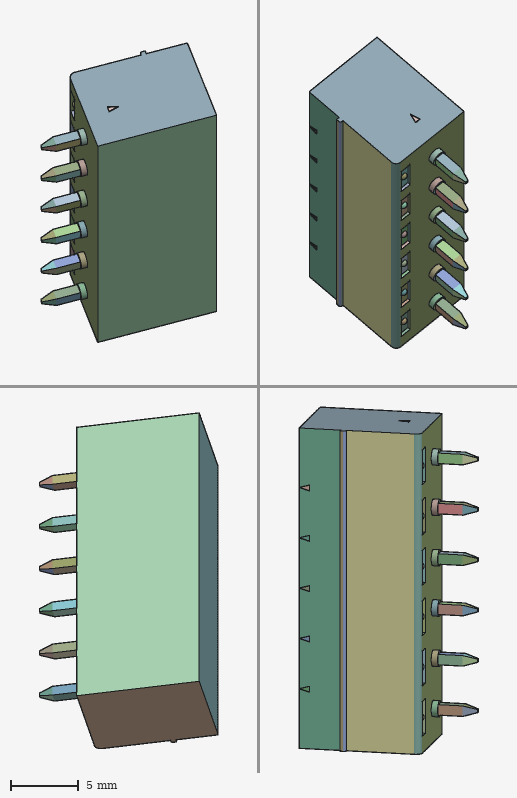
import cadquery as cq

width = 6.98
depth = 9.22
height = 24.25
corner_radius = 0.48
back_chamfer = 0.05

rib_height = 0.27
rib_thickness = 0.41
rib_rounding = 0.17
rib_from_back = 3.18

contact_count = 6
pitch = 3.8
pin_x = -3.0
collar_diameter = 1.21
collar_length = 0.48
pin_side = 0.8
pin_shoulder = 2.35
pin_length = 3.4
tip_side = 0.25

pocket_width = 0.92
pocket_height = 2.62
pocket_depth = 0.25
pocket_x = -6.0
stud_diameter = 0.6

mark_length = 0.78
mark_width = 0.44
mark_depth = 0.07
top_mark_base = 1.8

contact_heights = [
    height / 2 + (index - (contact_count - 1) / 2) * pitch
    for index in range(contact_count)
]
gap_heights = [z + pitch / 2 for z in contact_heights[:-1]]


def make_housing():
    """Block with its front left vertical edge rounded and its back left edge broken."""
    block = cq.Workplane("XY").box(width, depth, height, centered=False)
    block = block.translate((-width, 0, 0))
    block = block.edges("|Z and <X and <Y").fillet(corner_radius)
    return block.edges("|Z and <X and >Y").chamfer(back_chamfer)


def make_rib():
    """Rib on the left face, rounded along its front outer edge."""
    rib = cq.Workplane("XY").box(rib_height, rib_thickness, height, centered=False)
    rib = rib.edges("|Z and <X and <Y").fillet(rib_rounding)
    return rib.translate((-width - rib_height, depth - rib_from_back - rib_thickness, 0))


def make_contact(z):
    """Round collar and square pin with a tapered tip, pointing to -Y."""
    front = cq.Workplane("XZ", origin=(pin_x, 0, z))
    collar = front.circle(collar_diameter / 2).extrude(collar_length)
    shank = front.rect(pin_side, pin_side).extrude(pin_shoulder)
    tip = (
        front.workplane(offset=pin_shoulder)
        .rect(pin_side, pin_side)
        .workplane(offset=pin_length - pin_shoulder)
        .rect(tip_side, tip_side)
        .loft(ruled=True)
    )
    return collar.union(shank).union(tip)


def make_pocket(z):
    """Rectangular recess in the front face."""
    return cq.Workplane("XY", origin=(pocket_x, pocket_depth / 2, z)).box(
        pocket_width, pocket_depth, pocket_height
    )


def make_stud(z):
    """Round stud sunk in the pocket floor, its crown level with the front face."""
    stud_radius = stud_diameter / 2
    return cq.Workplane("XY", origin=(pocket_x, stud_radius, z)).sphere(stud_radius)


def make_top_mark():
    """Triangle in the top face, pointing away from the pins."""
    return (
        cq.Workplane("XY", origin=(pin_x, top_mark_base, height - mark_depth))
        .polyline([(-mark_width / 2, 0), (mark_width / 2, 0), (0, mark_length)])
        .close()
        .extrude(mark_depth)
    )


def make_side_mark(z):
    """Triangle in the left face, pointing to the back edge."""
    base_y = depth - mark_length
    return (
        cq.Workplane("YZ", origin=(-width, 0, z))
        .polyline([(base_y, -mark_width / 2), (base_y, mark_width / 2), (depth, 0)])
        .close()
        .extrude(mark_depth)
    )


result = make_housing().union(make_rib()).cut(make_top_mark())
for z in contact_heights:
    result = result.cut(make_pocket(z)).union(make_stud(z)).union(make_contact(z))
for z in gap_heights:
    result = result.cut(make_side_mark(z))